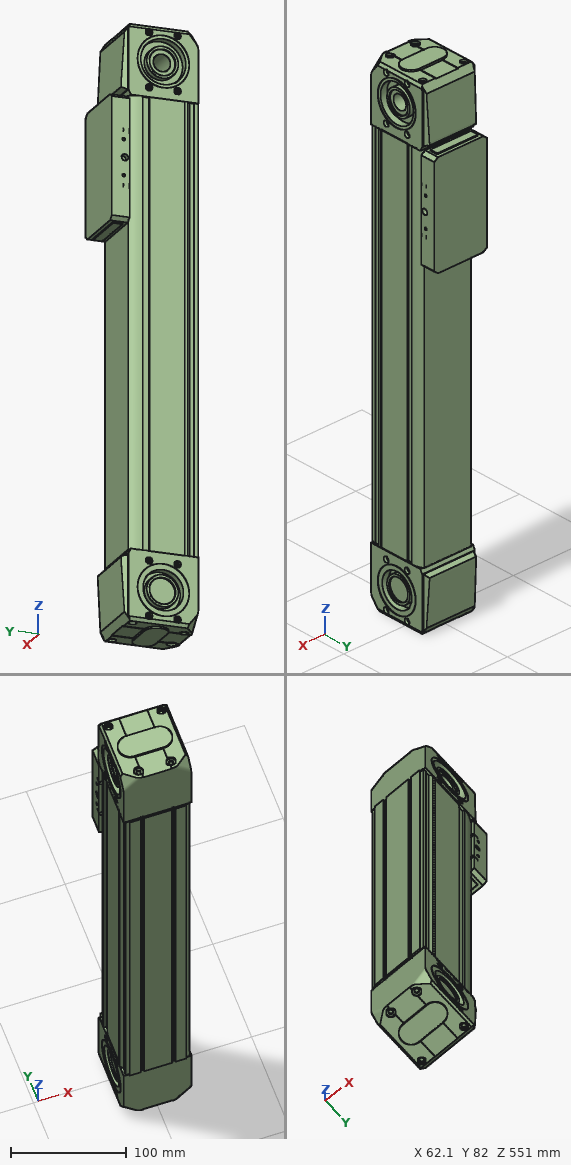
import cadquery as cq


LENGTH = 551.0
WIDTH = 62.0
DEPTH = 82.0
HALF_WIDTH = WIDTH / 2

RAIL_LENGTH = 416.5
RAIL_DEPTH = 65.5
RAIL_END = RAIL_LENGTH / 2
FRONT_SLOT_X = 14.5
FRONT_SLOT_MOUTH = 3.5
FRONT_SLOT_WIDTH = 1.5
FRONT_SLOT_LIP = 1.0
FRONT_SLOT_DEPTH = 4.5

HEAD_FRONT = 1.5
HEAD_BACK = 66.5
BOSS_HEIGHT = 1.5
HEAD_TOP = LENGTH / 2 - BOSS_HEIGHT
HEAD_HEIGHT = HEAD_TOP - RAIL_END
TOP_CHAMFER_X = 2.0
TOP_CHAMFER_Z = 3.5
BACK_BEVEL_Y = 2.0
TOP_BEVEL_Z = 5.0
BOTTOM_BEVEL_Z = 4.5
CORNER_CUT_X = 14.0
CORNER_CUT_Y = 11.0
CORNER_CUT_Z = 14.0
CORNER_ROUND = 5.0
AXLE_Y = 34.0
AXLE_Z = 242.5

BOSS_LENGTH = 49.0
BOSS_WIDTH = 21.5
BOSS_Y = AXLE_Y
TOP_RECESS_WIDTH = 26.0
TOP_RECESS_DEPTH = 0.5
BACK_SCREW_X = 24.0
BACK_SCREW_Y = 60.0
BACK_SCREW_DIAMETER = 7.0
FRONT_SCREW_X = 15.0
FRONT_SCREW_Y = 9.0
FRONT_SCREW_DIAMETER = 8.0
SCREW_SINK = 2.0
SOCKET_DIAMETER = 4.15
SOCKET_DEPTH = 2.0

RIM_DIAMETER = 48.0
RIM_DEPTH = 0.5
SEAT_DEPTH = 8.0
TOP_SEAT_DIAMETER = 42.0
BOTTOM_SEAT_DIAMETER = 37.5
HUB_DIAMETER = 29.0
HUB_SETBACK = 2.0
HUB_RECESS_DIAMETER = 24.0
HUB_RECESS_DEPTH = 1.5
BORE_DIAMETER = 16.0
SIDE_SCREW_Y = 13.0
SIDE_SCREW_Z = 25.5
SIDE_SCREW_DIAMETER = 6.0
SIDE_SCREW_DEPTH = 3.5
SIDE_SOCKET_DIAMETER = 4.0

COVER_BASE_HALF_WIDTH = 30.5
COVER_BACK_HALF_WIDTH = 27.5
COVER_BACK = 72.0
COVER_SHOULDER_Y = 69.5
COVER_SHOULDER_Z = 266.0
COVER_BACK_TOP = 218.0
COVER_BACK_BOTTOM = 215.5
COVER_BOTTOM = 213.0

CARRIAGE_Z = 150.0
CARRIAGE_LENGTH = 115.5
CARRIAGE_THICKNESS = DEPTH - RAIL_DEPTH
CARRIAGE_CHAMFER_X = 4.5
CARRIAGE_CHAMFER_Z = 3.5
PANEL_HEIGHT = 1.0
PANEL_WIDTH = 48.0
PANEL_Y_MIN = 69.5
PANEL_Y_MAX = 78.0
LUBE_HOLE_DIAMETER = 6.0
LUBE_HOLE_Y = 70.0
PIN_HOLE_DIAMETER = 2.5
PIN_HOLE_Y = 71.0
PIN_HOLE_SPACING = 33.0
SIDE_HOLE_DEPTH = 5.5
UNDER_HOLE_DIAMETER = 5.0
UNDER_HOLE_X = 28.0
UNDER_HOLE_SPACING = 50.5
UNDER_HOLE_DEPTH = 5.5


def box(x_min, x_max, y_min, y_max, z_min, z_max):
    """Box between two opposite corners."""
    size = (x_max - x_min, y_max - y_min, z_max - z_min)
    return cq.Workplane("XY").box(*size, centered=False).translate((x_min, y_min, z_min))


def side_disc(side, diameter, start, depth, y, z):
    """Cylinder along X, from `start` below the side face at `side` inward by `depth`."""
    plane = cq.Plane(origin=(side * (HALF_WIDTH - start), y, z), xDir=(0, 1, 0), normal=(-side, 0, 0))
    return cq.Workplane(plane).circle(diameter / 2).extrude(depth)


def down_disc(diameter, x, y, z, depth):
    """Cylinder along Z, hanging down from height z."""
    return cq.Workplane("XY", origin=(x, y, z)).circle(diameter / 2).extrude(-depth)


def make_rail():
    front_face_x = 26.0
    lip_x = 29.0
    groove_floor_x = 28.5
    side_wall_x = 30.5
    slot_floor_x = 28.5
    flank_x = 30.5
    shoulder_x = 28.5
    back_face_x = 27.5

    front_step_y = 1.0
    groove_front_y = 5.0
    groove_slope_y = 9.0
    rib_front_y = 11.5
    rib_back_y = 14.5
    slot_front_y = 47.0
    slot_back_y = 53.5
    flank_y = 58.5
    shoulder_y = 63.0

    half_outline = (
        cq.Workplane("XY", origin=(0, 0, -RAIL_END))
        .moveTo(0, 0)
        .lineTo(front_face_x, 0)
        .lineTo(front_face_x, front_step_y)
        .lineTo(lip_x, front_step_y)
        .lineTo(lip_x, groove_front_y)
        .lineTo(groove_floor_x, groove_front_y)
        .lineTo(groove_floor_x, groove_slope_y)
        .lineTo(HALF_WIDTH, rib_front_y)
        .lineTo(HALF_WIDTH, rib_back_y)
        .lineTo(side_wall_x, rib_back_y)
        .lineTo(side_wall_x, slot_front_y)
        .lineTo(slot_floor_x, slot_front_y)
        .lineTo(slot_floor_x, slot_back_y)
        .lineTo(HALF_WIDTH, slot_back_y)
        .threePointArc((flank_x, flank_y), (shoulder_x, shoulder_y))
        .lineTo(back_face_x, RAIL_DEPTH)
        .lineTo(0, RAIL_DEPTH)
        .close()
    )
    half = half_outline.extrude(RAIL_LENGTH)
    rail = half.union(half.mirror("YZ"))
    for x in (-FRONT_SLOT_X, FRONT_SLOT_X):
        for width, depth in ((FRONT_SLOT_MOUTH, FRONT_SLOT_LIP), (FRONT_SLOT_WIDTH, FRONT_SLOT_DEPTH)):
            rail = rail.cut(box(x - width / 2, x + width / 2, 0, depth, -RAIL_END, RAIL_END))
    return rail


def chamfered_envelope():
    """Prism along Y with chamfered top edges, which both the head block and its cover stay inside."""
    return (
        cq.Workplane("XZ")
        .polyline([
            (-HALF_WIDTH, RAIL_END),
            (HALF_WIDTH, RAIL_END),
            (HALF_WIDTH, HEAD_TOP - TOP_CHAMFER_Z),
            (HALF_WIDTH - TOP_CHAMFER_X, HEAD_TOP),
            (TOP_CHAMFER_X - HALF_WIDTH, HEAD_TOP),
            (-HALF_WIDTH, HEAD_TOP - TOP_CHAMFER_Z),
        ])
        .close()
        .extrude(-DEPTH)
    )


def side_envelope():
    """Prism along X with the upper and lower back edges bevelled."""
    return (
        cq.Workplane("YZ", origin=(-HALF_WIDTH, 0, 0))
        .polyline([
            (HEAD_FRONT, RAIL_END),
            (HEAD_BACK - BACK_BEVEL_Y, RAIL_END),
            (HEAD_BACK, RAIL_END + BOTTOM_BEVEL_Z),
            (HEAD_BACK, HEAD_TOP - TOP_BEVEL_Z),
            (HEAD_BACK - BACK_BEVEL_Y, HEAD_TOP),
            (HEAD_FRONT, HEAD_TOP),
        ])
        .close()
        .extrude(WIDTH)
    )


def head_block():
    """Head block with bevelled back, chamfered top sides and two cut, rounded front corners."""
    block = side_envelope().intersect(chamfered_envelope())
    for side in (-1, 1):
        normal = (side / CORNER_CUT_X, -1 / CORNER_CUT_Y, 1 / CORNER_CUT_Z)
        on_plane = (side * (HALF_WIDTH - CORNER_CUT_X), HEAD_FRONT, HEAD_TOP)
        cutter = cq.Workplane(cq.Plane(origin=on_plane, normal=normal)).rect(2 * WIDTH, 2 * WIDTH)
        block = block.cut(cutter.extrude(WIDTH))
    for side in (-1, 1):
        cut_middle = (side * (HALF_WIDTH - CORNER_CUT_X / 2), HEAD_FRONT, HEAD_TOP - CORNER_CUT_Z / 2)
        block = block.edges(cq.selectors.NearestToPointSelector(cut_middle)).fillet(CORNER_ROUND)
    return block


def belt_cover():
    """Sloping cover on the back of the head, narrower toward its back."""
    profile = (
        cq.Workplane("YZ", origin=(-HALF_WIDTH, 0, 0))
        .moveTo(HEAD_BACK - BACK_BEVEL_Y, HEAD_TOP)
        .lineTo(COVER_SHOULDER_Y, COVER_SHOULDER_Z)
        .lineTo(COVER_BACK, COVER_BACK_TOP)
        .lineTo(COVER_BACK, COVER_BACK_BOTTOM)
        .lineTo(HEAD_BACK, COVER_BOTTOM)
        .lineTo(HEAD_BACK - BACK_BEVEL_Y, COVER_BOTTOM)
        .close()
        .extrude(WIDTH)
    )
    taper = (
        cq.Workplane("XY", origin=(0, 0, RAIL_END))
        .polyline([
            (-COVER_BASE_HALF_WIDTH, HEAD_BACK - BACK_BEVEL_Y),
            (COVER_BASE_HALF_WIDTH, HEAD_BACK - BACK_BEVEL_Y),
            (COVER_BACK_HALF_WIDTH, COVER_BACK),
            (-COVER_BACK_HALF_WIDTH, COVER_BACK),
        ])
        .close()
        .extrude(HEAD_HEIGHT)
    )
    return profile.intersect(taper).intersect(chamfered_envelope())


def add_top_details(head):
    """Long round-ended boss, a shallow central recess and four sunk screws on the end face."""
    half_recess = TOP_RECESS_WIDTH / 2
    head = head.cut(
        box(-half_recess, half_recess, HEAD_FRONT, HEAD_BACK, HEAD_TOP - TOP_RECESS_DEPTH, HEAD_TOP)
    )
    boss_base = HEAD_TOP - TOP_RECESS_DEPTH
    boss = (
        cq.Workplane("XY", origin=(0, BOSS_Y, boss_base))
        .slot2D(BOSS_LENGTH, BOSS_WIDTH)
        .extrude(LENGTH / 2 - boss_base)
    )
    head = head.union(boss)
    for side in (-1, 1):
        for x, y, diameter in (
            (BACK_SCREW_X, BACK_SCREW_Y, BACK_SCREW_DIAMETER),
            (FRONT_SCREW_X, FRONT_SCREW_Y, FRONT_SCREW_DIAMETER),
        ):
            head = head.cut(down_disc(diameter, side * x, y, HEAD_TOP, SCREW_SINK))
            head = head.cut(down_disc(SOCKET_DIAMETER, side * x, y, HEAD_TOP - SCREW_SINK, SOCKET_DEPTH))
    return head


def add_bearing_seat(head, side, seat_diameter):
    """Stepped round recess around the axle, holding a set-back hub, and its four sunk screws."""
    head = head.cut(side_disc(side, RIM_DIAMETER, 0, RIM_DEPTH, AXLE_Y, AXLE_Z))
    seat = side_disc(side, seat_diameter, 0, SEAT_DEPTH, AXLE_Y, AXLE_Z)
    hub = side_disc(side, HUB_DIAMETER, HUB_SETBACK, SEAT_DEPTH - HUB_SETBACK, AXLE_Y, AXLE_Z)
    hub_recess = side_disc(side, HUB_RECESS_DIAMETER, HUB_SETBACK, HUB_RECESS_DEPTH, AXLE_Y, AXLE_Z)
    head = head.cut(seat.cut(hub)).cut(hub_recess)
    for dy in (-SIDE_SCREW_Y, SIDE_SCREW_Y):
        for dz in (-SIDE_SCREW_Z, SIDE_SCREW_Z):
            y = AXLE_Y + dy
            z = AXLE_Z + dz
            head = head.cut(side_disc(side, SIDE_SCREW_DIAMETER, 0, SIDE_SCREW_DEPTH, y, z))
            head = head.cut(side_disc(side, SIDE_SOCKET_DIAMETER, SIDE_SCREW_DEPTH, SOCKET_DEPTH, y, z))
    return head


def make_head(seat_diameter):
    """Head in its place at the upper end of the rail."""
    head = add_top_details(head_block().union(belt_cover()))
    for side in (-1, 1):
        head = add_bearing_seat(head, side, seat_diameter)
    return head


def make_drive_head():
    """Upper head, with the axle bore right through it."""
    return make_head(TOP_SEAT_DIAMETER).cut(side_disc(-1, BORE_DIAMETER, 0, WIDTH, AXLE_Y, AXLE_Z))


def make_return_head():
    """Lower head, with smaller bearing seats and no bore."""
    return make_head(BOTTOM_SEAT_DIAMETER).mirror("XY")


def make_carriage():
    half_length = CARRIAGE_LENGTH / 2
    z_min = CARRIAGE_Z - half_length
    z_max = CARRIAGE_Z + half_length
    end_half_width = HALF_WIDTH - CARRIAGE_CHAMFER_X
    carriage = (
        cq.Workplane("XZ", origin=(0, RAIL_DEPTH, 0))
        .polyline([
            (-end_half_width, z_min),
            (end_half_width, z_min),
            (HALF_WIDTH, z_min + CARRIAGE_CHAMFER_Z),
            (HALF_WIDTH, z_max - CARRIAGE_CHAMFER_Z),
            (end_half_width, z_max),
            (-end_half_width, z_max),
            (-HALF_WIDTH, z_max - CARRIAGE_CHAMFER_Z),
            (-HALF_WIDTH, z_min + CARRIAGE_CHAMFER_Z),
        ])
        .close()
        .extrude(-CARRIAGE_THICKNESS)
    )
    carriage = carriage.union(
        box(
            -PANEL_WIDTH / 2, PANEL_WIDTH / 2, PANEL_Y_MIN, PANEL_Y_MAX,
            z_min - PANEL_HEIGHT, z_max + PANEL_HEIGHT,
        )
    )
    for side in (-1, 1):
        carriage = carriage.cut(
            side_disc(side, LUBE_HOLE_DIAMETER, 0, SIDE_HOLE_DEPTH, LUBE_HOLE_Y, CARRIAGE_Z)
        )
        for end in (-1, 1):
            pin_z = CARRIAGE_Z + end * PIN_HOLE_SPACING / 2
            carriage = carriage.cut(side_disc(side, PIN_HOLE_DIAMETER, 0, SIDE_HOLE_DEPTH, PIN_HOLE_Y, pin_z))
            under_z = CARRIAGE_Z + end * UNDER_HOLE_SPACING / 2
            under_hole = (
                cq.Workplane("XZ", origin=(side * UNDER_HOLE_X, RAIL_DEPTH, under_z))
                .circle(UNDER_HOLE_DIAMETER / 2)
                .extrude(-UNDER_HOLE_DEPTH)
            )
            carriage = carriage.cut(under_hole)
    return carriage


rail = make_rail()
drive_head = make_drive_head()
return_head = make_return_head()
carriage = make_carriage()

result = cq.Compound.makeCompound([rail.val(), drive_head.val(), return_head.val(), carriage.val()])